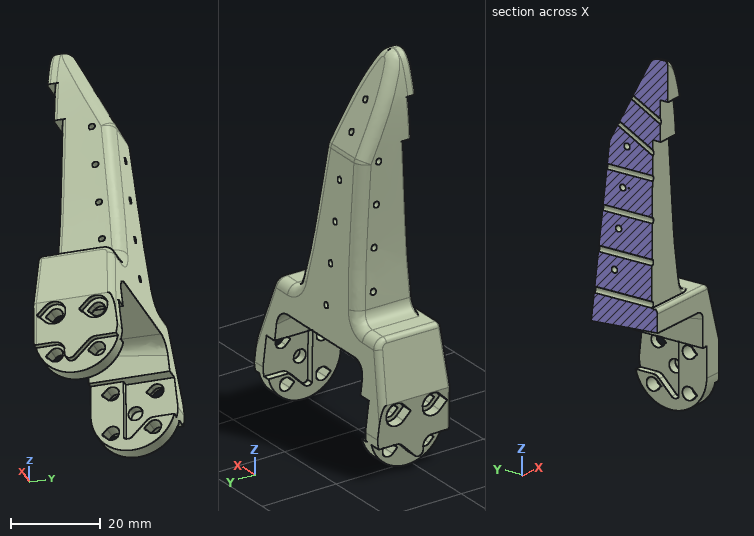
import cadquery as cq
import math

height = 92.0
base_top = 32.1
shoulder_z = 18.0
knuckle_z = 69.5
knuckle_y = 13.5
tip_back_y = 1.8
foot_radius = 9.9
base_front_y = 0.0
hinge_y = foot_radius
hinge_z = foot_radius
front_steps = [(base_top, 1.6), (72.2, -0.5), (82.1, -2.4)]

leg_half_width = 24.0
shoulder_half_width = 19.7
shoulder_radius = 1.5
flare_radius = 3.7
flare_turn = 82.5
flare_foot_half_width = 14.55
finger_sides = [(9.7, 43.0), (8.6, 53.2), (7.7, 63.2), (7.0, 72.1), (5.8, 82.0), (4.4, 87.1)]

back_radius = 2.8
base_front_radius = 0.9
finger_front_radius = 0.9

opening_x = 0.69
foot_half_gap = 18.1
foot_thickness = 3.73
bridge_half_gap = 16.7
bridge_step_z = 17.5
opening_top_front = 26.5
opening_top_back = 25.0
opening_overrun = 0.9
opening_radius_front = 2.0
opening_radius_back = 3.9
recess_half_gap = 19.9
recess_front_y = 7.7

cord_diameter = 1.5
cord_pitch = 10.0
cord_count = 4
cord_first_z = 33.0
side_cord_first_z = 38.95
side_cord_depth = 4.9
tip_cord_entries = [(69.15, front_steps[0][1]), (77.1, front_steps[1][1])]
bolt_radius = 1.7
bolt_seat_radius = 2.8
bolt_offset = 4.93
lap_radius = 2.5
lap_drop = 4.1
lap_lobe_rise = -0.7
pivot_depth = 2.3

tilt = 0.45

cord_lead = 0.9
tolerance = 0.1
reach = 55.25
front_plane = cq.Plane(origin=(0, 0, 0), xDir=(1, 0, 0), normal=(0, -1, 0))
side_plane = cq.Plane(origin=(0, 0, 0), xDir=(0, 1, 0), normal=(1, 0, 0))
back_slope = (hinge_y + foot_radius - knuckle_y) / (knuckle_z - hinge_z)
tip_slope = (knuckle_y - tip_back_y) / (height - knuckle_z)


def back_y(z):
    """Depth of the sloping back of the base and lower finger at height z."""
    return knuckle_y + back_slope * (knuckle_z - z)


def tip_y(z):
    """Depth of the steeper back of the fingertip at height z."""
    return tip_back_y + tip_slope * (height - z)


def block(x_range, y_range, z_range):
    """Axis-aligned box between the given limits."""
    (x0, x1), (y0, y1), (z0, z1) = x_range, y_range, z_range
    return cq.Workplane("XY").box(x1 - x0, y1 - y0, z1 - z0, centered=False).translate((x0, y0, z0))


def right_half_prism():
    """Right half of the finger, flare, shoulder and leg, seen along Y, far deeper than the part."""
    turn = math.radians(flare_turn)
    flare_end = (
        flare_foot_half_width - flare_radius * math.sin(turn),
        base_top + flare_radius * (1 - math.cos(turn)),
    )
    return (
        cq.Workplane(front_plane)
        .lineTo(leg_half_width, 0)
        .lineTo(leg_half_width, shoulder_z)
        .lineTo(shoulder_half_width, base_top)
        .lineTo(flare_foot_half_width, base_top)
        .radiusArc(flare_end, flare_radius)
        .spline(
            finger_sides + [(0, height)],
            tangents=[(-math.cos(turn), math.sin(turn)), (-1, 0)],
            includeCurrent=True,
        )
        .close()
        .extrude(reach, both=True)
    )


def back_envelope():
    """Everything in front of the two sloping backs, above the foot bottom."""
    return (
        cq.Workplane(side_plane)
        .moveTo(-reach, 0)
        .lineTo(-reach, height)
        .lineTo(tip_back_y, height)
        .lineTo(knuckle_y, knuckle_z)
        .lineTo(back_y(0), 0)
        .close()
        .extrude(reach, both=True)
    )


def on_back(edge):
    """True for an outer edge of the sloping backs."""
    point = edge.positionAt(0.4)
    return abs(point.y - min(back_y(point.z), tip_y(point.z))) < tolerance and point.x > tolerance


def right_half_blank():
    """Right half with the back edges of its top and finger rounded and its front still uncut."""
    blank = right_half_prism().intersect(back_envelope())
    return blank.edges().filter(lambda e: on_back(e) and e.Center().z > base_top - tolerance).fillet(back_radius)


def on_shoulder(edge):
    """True for the top outer corner of the base and the back edge of its slanted side."""
    center = edge.Center()
    is_corner = center.x > shoulder_half_width - tolerance and abs(center.z - base_top) < tolerance
    is_slant_back = center.x > shoulder_half_width and shoulder_z < center.z < base_top - tolerance and on_back(edge)
    return is_corner or is_slant_back


def right_half_base(blank):
    """Right shoulder and leg with a flat front and rounded outer edges."""
    base = blank.intersect(block((0, reach), (base_front_y, reach), (0, base_top)))
    shoulder = base.edges().filter(on_shoulder).fillet(shoulder_radius)
    front_rim = shoulder.faces("<Y").edges().filter(lambda e: min(e.Center().x, e.Center().z) > tolerance)
    return front_rim.fillet(base_front_radius)


def right_half_finger(blank):
    """Right half of the finger, one slice for each step of its front, each with a rounded rim."""
    finger = cq.Workplane("XY")
    slice_tops = [z for z, _ in front_steps[1:]] + [height]
    for (low_z, front_y), top_z in zip(front_steps, slice_tops):
        part = blank.intersect(block((0, reach), (front_y, reach), (low_z, height)))
        part = part.faces("<Y").edges().filter(lambda e: e.geomType() != "LINE").fillet(finger_front_radius)
        finger = finger.add(part.intersect(block((0, reach), (-reach, reach), (low_z, top_z))))
    return finger.combine()


def foot_envelope():
    """Side profile that rounds the legs off about the hinge axis."""
    return (
        cq.Workplane(side_plane)
        .moveTo(-reach, hinge_z)
        .lineTo(0, hinge_z)
        .threePointArc((hinge_y, hinge_z - foot_radius), (hinge_y + foot_radius, hinge_z))
        .lineTo(reach, hinge_z)
        .lineTo(reach, height)
        .lineTo(-reach, height)
        .close()
        .extrude(reach, both=True)
    )


def arch_wire(y, top_z, radius):
    """Top of the leg opening at depth y, with rounded corners."""
    return (
        cq.Workplane(front_plane)
        .workplane(offset=-y)
        .moveTo(opening_x - bridge_half_gap, bridge_step_z)
        .lineTo(opening_x + bridge_half_gap, bridge_step_z)
        .lineTo(opening_x + bridge_half_gap, top_z - radius)
        .radiusArc((opening_x + bridge_half_gap - radius, top_z), -radius)
        .lineTo(opening_x - bridge_half_gap + radius, top_z)
        .radiusArc((opening_x - bridge_half_gap, top_z - radius), -radius)
        .close()
        .wires()
        .val()
    )


def leg_opening():
    """Space between the legs: sloping arch above, wider gap beside the feet below."""
    arch = cq.Workplane(
        cq.Solid.makeLoft(
            [
                arch_wire(base_front_y, opening_top_front, opening_radius_front),
                arch_wire(hinge_y + foot_radius + opening_overrun, opening_top_back, opening_radius_back),
            ],
            True,
        )
    )
    gap = (opening_x - foot_half_gap, opening_x + foot_half_gap)
    return arch.union(block(gap, (-reach, reach), (-reach, bridge_step_z)))


def teardrop(radius, y, z):
    """Teardrop outline about (y, z), its point toward the front, as an X-facing workplane."""
    leg = radius * math.sqrt(0.5)
    return (
        cq.Workplane(side_plane)
        .moveTo(y - radius * math.sqrt(2), z)
        .lineTo(y - leg, z - leg)
        .threePointArc((y + radius, z), (y - leg, z + leg))
        .close()
    )


def below_lap():
    """Region below the wavy edge where the outer leg gives way to the thinner foot."""
    r = lap_radius
    back_bolt, front_bolt = hinge_y + bolt_offset, hinge_y - bolt_offset
    bolt_z = hinge_z - bolt_offset
    diagonal = r * math.sqrt(0.5)
    half_turn = math.radians(45) / 2
    run = lap_drop - (r - diagonal)
    lobe_y = back_bolt - diagonal - run
    return (
        cq.Workplane(side_plane)
        .moveTo(reach, bolt_z + r)
        .lineTo(back_bolt, bolt_z + r)
        .threePointArc(
            (back_bolt - r * math.sin(half_turn), bolt_z + r * math.cos(half_turn)),
            (back_bolt - diagonal, bolt_z + diagonal),
        )
        .lineTo(lobe_y, bolt_z + diagonal - run)
        .tangentArcPoint((front_bolt + r, bolt_z + lap_lobe_rise), relative=False)
        .lineTo(front_bolt + r, bolt_z)
        .threePointArc((front_bolt + diagonal, bolt_z + diagonal), (front_bolt, bolt_z + r))
        .lineTo(-reach, bolt_z + r)
        .lineTo(-reach, -reach)
        .lineTo(reach, -reach)
        .close()
        .extrude(reach, both=True)
    )


def foot_recesses():
    """Material taken off the outside of both feet and, above the wavy edge, off their inside."""
    foot_outer = foot_half_gap + foot_thickness
    every_y, every_z = (-reach, reach), (-reach, height)
    outside = block((-reach, opening_x - foot_outer), every_y, every_z)
    outside = outside.union(block((opening_x + foot_outer, reach), every_y, every_z))
    inner_gap = (opening_x - recess_half_gap, opening_x + recess_half_gap)
    inside = block(inner_gap, (recess_front_y, reach), (0, bridge_step_z))
    lap = below_lap()
    return outside.intersect(lap).union(inside.cut(lap))


def bolt_holes():
    """Four teardrop holes through each leg, the upper two seated, and a blind pivot hole inside."""
    foot_outer = foot_half_gap + foot_thickness
    tools = cq.Workplane("XY")
    for side_y in (-bolt_offset, bolt_offset):
        for side_z in (-bolt_offset, bolt_offset):
            tools = tools.add(teardrop(bolt_radius, hinge_y + side_y, hinge_z + side_z).extrude(reach, both=True))
        seat = teardrop(bolt_seat_radius, hinge_y + side_y, hinge_z + bolt_offset).extrude(reach, both=True)
        core = block((opening_x - foot_outer, opening_x + foot_outer), (-reach, reach), (-reach, height))
        tools = tools.add(seat.cut(core))
    pivot = cq.Workplane(side_plane).center(hinge_y, hinge_z).circle(bolt_radius)
    return tools.add(pivot.extrude(recess_half_gap + pivot_depth, both=True).translate((opening_x, 0, 0))).combine()


def cord_hole(point, direction):
    """Long cord hole starting a little before the point."""
    start = cq.Vector(*point) - cq.Vector(*direction).normalized() * cord_lead
    return cq.Solid.makeCylinder(cord_diameter / 2, reach, start, cq.Vector(*direction))


def cord_holes():
    """Front-to-back, tip and sideways holes of the finger."""
    tools = cq.Workplane("XY")
    for i in range(cord_count):
        tools = tools.add(cord_hole((0, front_steps[0][1], cord_first_z + i * cord_pitch), (0, 1, 0)))
        z = side_cord_first_z + i * cord_pitch
        tools = tools.add(cord_hole((-leg_half_width, back_y(z) - side_cord_depth, z), (1, 0, 0)))
    for z, y in tip_cord_entries:
        tools = tools.add(cord_hole((0, y, z), (0, 1, tip_slope)))
    return tools.combine()


def make_finger_fork():
    """Finger on its forked base, with hinge feet."""
    blank = right_half_blank()
    right = right_half_base(blank).union(right_half_finger(blank))
    piece = right.union(right.mirror("YZ")).intersect(foot_envelope())
    piece = piece.cut(leg_opening()).cut(foot_recesses()).cut(bolt_holes()).cut(cord_holes())
    forward_tilted = piece.rotate((0, 0, 0), (1, 0, 0), tilt)
    return forward_tilted.rotate((0, 0, shoulder_z), (0, 1, shoulder_z), -tilt)


finger_fork = make_finger_fork()
result = cq.Compound.makeCompound([finger_fork.val()])